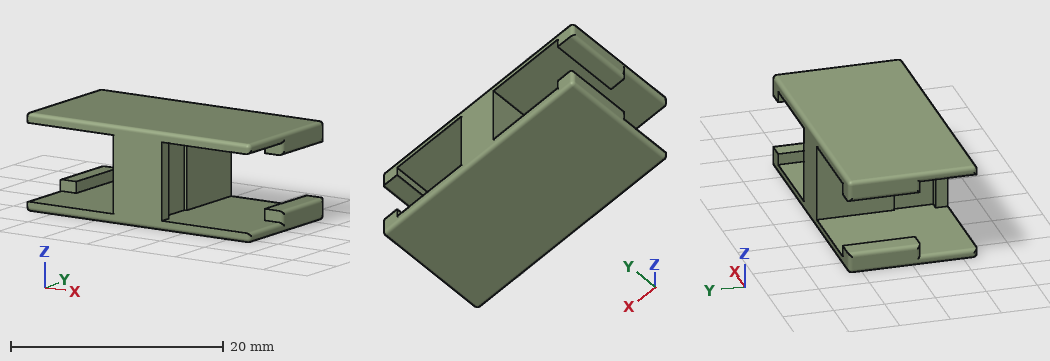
import cadquery as cq

length = 25.4
depth = 12.7
height = 9.52
edge_round = 0.4

plate_thickness = 0.97
lip_height = 1.12
lip_length = 2.0
lip_start = 5.6

web_width = 5.5
web_front_depth = 1.2
groove_depth = 0.86
groove_end = 5.1
web_back_inset = 0.6


def block(size_x, y_start, y_end, z_start, z_end, center_x=0.0):
    """Box centred on center_x that spans the given Y and Z ranges."""
    return (
        cq.Workplane("XY")
        .box(size_x, y_end - y_start, z_end - z_start, centered=(True, False, False))
        .translate((center_x, y_start, z_start))
    )


def lipped_plate():
    """Upper plate with a lip hanging from the back of each end."""
    top = height / 2
    underside = top - plate_thickness
    plate = block(length, 0, depth, underside, top)
    for side in (-1, 1):
        lip_center = side * (length - lip_length) / 2
        plate = plate.union(
            block(lip_length, lip_start, depth, underside - lip_height, underside, lip_center)
        )
    return plate.faces(">Z or <X or >X").edges().fillet(edge_round)


def web():
    """Central column with a groove down each side behind its front strip."""
    inner_height = height / 2 - plate_thickness
    sections = (
        (0, web_front_depth, 0),
        (web_front_depth, groove_end, groove_depth),
        (groove_end, depth, web_back_inset),
    )
    column = cq.Workplane("XY")
    for y_start, y_end, inset in sections:
        column = column.union(
            block(web_width - 2 * inset, y_start, y_end, -inner_height, inner_height)
        )
    return column


upper = lipped_plate()
lower = upper.mirror("XY")
result = upper.union(web()).union(lower)